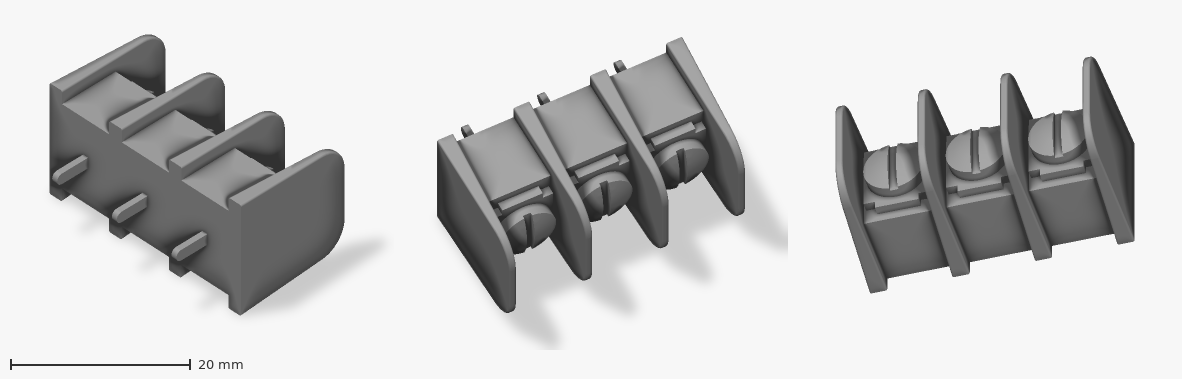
import cadquery as cq
import math

pole_count = 3
overall_length = 30.6
overall_width = 15.75
overall_depth = 21.58
draft_angle = 2.0

wall_base_thickness = 2.02
wall_height = 16.77
wall_corner_radius = 3.75
wall_edge_radius = 0.25

block_base_width = 12.0
block_height = 8.6

pin_thickness = 0.8
pin_width = 1.5

plate_length = 7.65
plate_width = 7.35
plate_thickness = 1.07
tongue_length = 5.05
tongue_width = 9.18

screw_diameter = 6.98
screw_rim_height = 1.4
screw_dome_height = 0.67
slot_width = 0.98
slot_depth = 1.05

pitch = (overall_length - wall_base_thickness) / pole_count
wall_centers = [(i - pole_count / 2) * pitch for i in range(pole_count + 1)]
pole_centers = [(i - (pole_count - 1) / 2) * pitch for i in range(pole_count)]
pin_length = overall_depth - wall_height
draft_slope = math.tan(math.radians(draft_angle))

side_plane = cq.Plane(origin=(0, 0, 0), xDir=(0, 0, 1), normal=(-1, 0, 0))


def box_from(base_y, size_x, size_y, size_z):
    """Box centered in X and Z that rises along +Y from base_y."""
    box = cq.Workplane("XY").box(size_x, size_y, size_z, centered=(True, False, True))
    return box.translate((0, base_y, 0))


def tapered_profile(plane, base_size, height):
    """Symmetric trapezoid standing on Y = 0 and narrowing along +Y by the draft angle."""
    half_base = base_size / 2
    half_tip = half_base - height * draft_slope
    corners = [(-half_base, 0), (half_base, 0), (half_tip, height), (-half_tip, height)]
    return cq.Workplane(plane).polyline(corners).close()


def make_wall():
    """Barrier wall drafted in thickness and width, with rounded corners and edges."""
    outline = tapered_profile(side_plane, overall_width, wall_height)
    wall = outline.extrude(wall_base_thickness / 2, both=True)
    wall = wall.faces(">Y").edges("|X").fillet(wall_corner_radius)
    wedge = tapered_profile("XY", wall_base_thickness, wall_height)
    wall = wall.intersect(wedge.extrude(overall_width / 2, both=True))
    rim_edges = wall.faces("<X or >X").edges("not(<Y)")
    return rim_edges.fillet(wall_edge_radius)


def make_block():
    """Core block joining all the walls, drafted on its two long sides."""
    outline = tapered_profile(side_plane, block_base_width, block_height)
    return outline.extrude(pole_count * pitch / 2, both=True)


def make_pin():
    """Flat solder pin with a fully rounded tip, rooted on the mounting face."""
    half_width = pin_width / 2
    straight_length = pin_length - half_width
    return (
        cq.Workplane(side_plane)
        .moveTo(-half_width, 0)
        .lineTo(-half_width, -straight_length)
        .threePointArc((0, -pin_length), (half_width, -straight_length))
        .lineTo(half_width, 0)
        .close()
        .extrude(pin_thickness / 2, both=True)
    )


def make_clamp_plate():
    """Plate lying on top of the core block."""
    plate = box_from(block_height, plate_length, plate_thickness, plate_width)
    tongue = box_from(block_height, tongue_length, plate_thickness, tongue_width)
    return plate.union(tongue)


def make_screw():
    """Domed screw head with a driver slot running along Z."""
    radius = screw_diameter / 2
    head_height = screw_rim_height + screw_dome_height
    dome_radius = (radius**2 + screw_dome_height**2) / (2 * screw_dome_height)
    mid_radius = radius / 2
    mid_height = head_height - dome_radius + math.sqrt(dome_radius**2 - mid_radius**2)
    head = (
        cq.Workplane("XY")
        .lineTo(radius, 0)
        .lineTo(radius, screw_rim_height)
        .threePointArc((mid_radius, mid_height), (0, head_height))
        .close()
        .revolve(360, (0, 0), (0, 1))
    )
    slot = box_from(head_height - slot_depth, slot_width, slot_depth, screw_diameter)
    return head.cut(slot).translate((0, block_height + plate_thickness, 0))


result = make_block()
wall = make_wall()
for x in wall_centers:
    result = result.union(wall.translate((x, 0, 0)))

pole_features = [make_pin(), make_clamp_plate(), make_screw()]
for x in pole_centers:
    for feature in pole_features:
        result = result.union(feature.translate((x, 0, 0)))